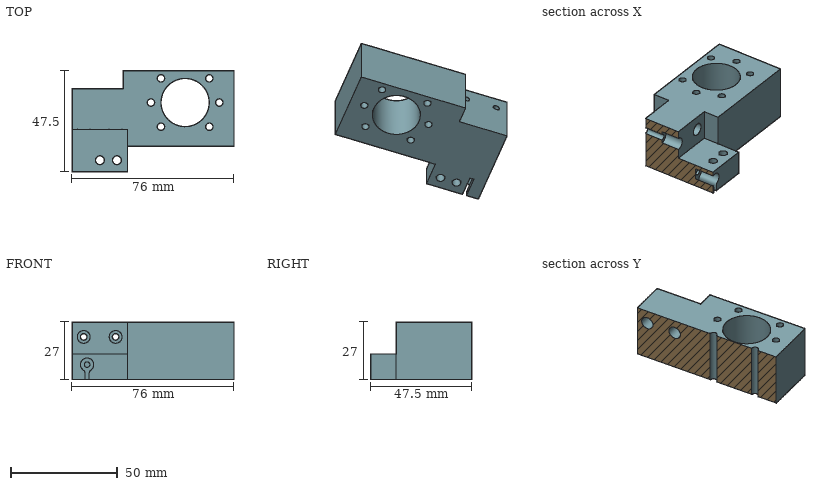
import cadquery as cq
import math

length = 76.0
width = 47.5
height = 27.0

shelf_length = 26.0
shelf_depth = 20.0
shelf_height = 12.0
main_front_y = 12.0
main_left_x = 23.9
arm_back_y = width - 8.4

bore_x = 53.0
bore_y = 32.5
bore_diameter = 22.5
bolt_circle_radius = 16.0
bolt_diameter = 3.35
bolt_angles = (0, 45, 135, 180, 225, 315)

mount_xs = (5.4, 20.4)
mount_z = height - 7.0
mount_diameter = 3.0
counterbore_diameter = 6.0
counterbore_depth = (arm_back_y - shelf_depth) / 2

shelf_hole_xs = (13.0, 21.0)
shelf_hole_y = 5.5
shelf_hole_diameter = 4.0

keyhole_x = 7.0
keyhole_z = 7.0
keyhole_diameter = 6.2
keyhole_depth = shelf_depth / 2
slot_width = 2.0
neck_radius = 2.0
pilot_diameter = 2.6
pilot_depth = shelf_depth


def body():
    """Stepped plan outline with the material above the shelf removed."""
    plan = (
        cq.Workplane("XY")
        .moveTo(0, 0)
        .lineTo(shelf_length, 0)
        .lineTo(shelf_length, main_front_y)
        .lineTo(length, main_front_y)
        .lineTo(length, width)
        .lineTo(main_left_x, width)
        .lineTo(main_left_x, arm_back_y)
        .lineTo(0, arm_back_y)
        .close()
        .extrude(height)
    )
    above_shelf = cq.Workplane("XY", origin=(0, 0, shelf_height)).box(
        shelf_length, shelf_depth, height - shelf_height, centered=False
    )
    return plan.cut(above_shelf)


def vertical_hole(x, y, diameter):
    """Cylinder through the full height."""
    return cq.Workplane("XY", origin=(x, y, 0)).circle(diameter / 2).extrude(height)


def rearward_hole(x, start_y, z, diameter, depth):
    """Cylinder running from start_y toward +Y."""
    return cq.Workplane("XZ", origin=(x, start_y, z)).circle(diameter / 2).extrude(-depth)


def keyhole():
    """Keyhole slot with neck arcs tangent to the bore and the slot, and a pilot hole behind it."""
    radius = keyhole_diameter / 2
    half_slot = slot_width / 2

    arc_x = half_slot + neck_radius
    arc_z = -math.sqrt((radius + neck_radius) ** 2 - arc_x**2)
    tangent_x = arc_x * radius / (radius + neck_radius)
    tangent_z = arc_z * radius / (radius + neck_radius)
    half_sweep = math.atan2(-arc_z, arc_x) / 2
    middle_x = arc_x - neck_radius * math.cos(half_sweep)
    middle_z = arc_z + neck_radius * math.sin(half_sweep)

    profile = (
        cq.Workplane("XZ", origin=(keyhole_x, 0, keyhole_z))
        .moveTo(-half_slot, -keyhole_z)
        .lineTo(-half_slot, arc_z)
        .threePointArc((-middle_x, middle_z), (-tangent_x, tangent_z))
        .threePointArc((0, radius), (tangent_x, tangent_z))
        .threePointArc((middle_x, middle_z), (half_slot, arc_z))
        .lineTo(half_slot, -keyhole_z)
        .close()
        .extrude(-keyhole_depth)
    )
    pilot = rearward_hole(keyhole_x, 0, keyhole_z, pilot_diameter, pilot_depth)
    return profile.union(pilot)


result = body()

result = result.cut(vertical_hole(bore_x, bore_y, bore_diameter))
for angle in bolt_angles:
    bolt_x = bore_x + bolt_circle_radius * math.cos(math.radians(angle))
    bolt_y = bore_y + bolt_circle_radius * math.sin(math.radians(angle))
    result = result.cut(vertical_hole(bolt_x, bolt_y, bolt_diameter))

for x in shelf_hole_xs:
    result = result.cut(vertical_hole(x, shelf_hole_y, shelf_hole_diameter))

for x in mount_xs:
    result = result.cut(rearward_hole(x, shelf_depth, mount_z, mount_diameter, arm_back_y - shelf_depth))
    result = result.cut(rearward_hole(x, shelf_depth, mount_z, counterbore_diameter, counterbore_depth))

result = result.cut(keyhole())